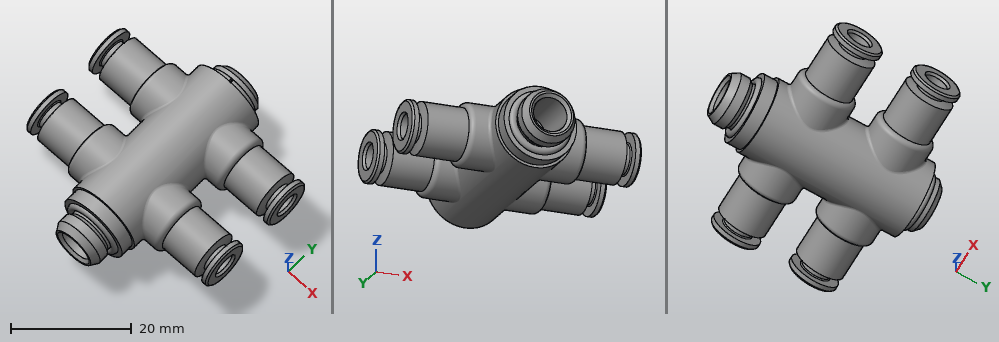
import cadquery as cq
import math

barrel_radius = 7.0
barrel_half_length = 15.08

plug_radius = 4.95
plug_end = 18.15
plug_chamfer = 1.0

ring_center_radius = 4.78
wire_radius = 0.58
ring_y = 15.8
ring_gap = 0.4

collar_radius = 6.5
collar_end = -17.55
seal_center_radius = 4.9
seal_wire_radius = 0.7
neck_end = -18.55
spigot_radius = 4.78
spigot_end = -22.4
spigot_back_length = 0.7
spigot_tip_radius = 3.95
spigot_tip_length = 1.4

bore_radius = 3.0
bore_mouth_radius = 3.6
bore_mouth_depth = 0.58
bore_end = -12.35
drill_tip_angle = 118.0

port_spacing = 15.0
boss_radius = 5.5
boss_face = 10.5
boss_edge_fillet = 0.9
boss_root_fillet = 0.5
sleeve_radius = 4.55
sleeve_end = 17.9
sleeve_nose_length = 0.37
stem_radius = 2.65
flange_start = 19.45
flange_end = 20.6
flange_chamfer = 0.35
stem_root = 0.2

passage_radius = 1.52
tube_radius = 2.15
tube_mouth_radius = 2.4
tube_mouth_depth = 0.5
tube_depth = 4.95

port_ys = (-port_spacing / 2, port_spacing / 2)
sides = (-1, 1)


def revolve_about_y(profile):
    """Full turn about the Y axis of a closed outline of (radius, y) points."""
    return cq.Workplane("XY").polyline(profile).close().revolve(360, (0, 0, 0), (0, 1, 0))


def revolve_about_port(profile, port_y):
    """Full turn about a port axis of a closed outline of (x, radius) points."""
    outline = [(x, port_y + radius) for x, radius in profile]
    return cq.Workplane("XY").polyline(outline).close().revolve(360, (0, port_y, 0), (1, port_y, 0))


def barrel_with_bosses():
    """Barrel and its four bosses, with rounded boss edges and roots."""
    body = cq.Workplane("XZ", origin=(0, barrel_half_length, 0)).circle(barrel_radius)
    body = body.extrude(2 * barrel_half_length)
    for port_y in port_ys:
        boss = cq.Workplane("YZ", origin=(-boss_face, port_y, 0)).circle(boss_radius)
        boss = boss.extrude(2 * boss_face)
        boss = boss.faces("<X or >X").edges().fillet(boss_edge_fillet)
        body = body.union(boss)
    root_edges = [
        edge for edge in body.edges().vals()
        if edge.geomType() not in ("LINE", "CIRCLE")
    ]
    return body.newObject(root_edges).fillet(boss_root_fillet)


def plug():
    """Chamfered plug standing on the +Y end of the barrel."""
    return revolve_about_y([
        (0, 0),
        (plug_radius, 0),
        (plug_radius, plug_end - plug_chamfer),
        (plug_radius - plug_chamfer, plug_end),
        (0, plug_end),
    ])


def spigot():
    """Collar, seal bead, neck and spigot on the -Y end of the barrel."""
    outline = (
        cq.Workplane("XY")
        .moveTo(0, 0)
        .lineTo(collar_radius, 0)
        .lineTo(collar_radius, collar_end)
        .lineTo(seal_center_radius + seal_wire_radius, collar_end)
        .threePointArc(
            (seal_center_radius, collar_end - seal_wire_radius),
            (seal_center_radius - seal_wire_radius, collar_end),
        )
        .lineTo(seal_center_radius - seal_wire_radius, neck_end)
        .lineTo(spigot_radius, neck_end - spigot_back_length)
        .lineTo(spigot_radius, spigot_end + spigot_tip_length)
        .lineTo(spigot_tip_radius, spigot_end)
        .lineTo(0, spigot_end)
        .close()
    )
    return outline.revolve(360, (0, 0, 0), (0, 1, 0))


def spigot_bore():
    """Blind bore with a flared mouth and a drilled cone at its end."""
    tip_length = bore_radius / math.tan(math.radians(drill_tip_angle / 2))
    return revolve_about_y([
        (0, spigot_end),
        (bore_mouth_radius, spigot_end),
        (bore_radius, spigot_end + bore_mouth_depth),
        (bore_radius, bore_end),
        (0, bore_end + tip_length),
    ])


def port(side, port_y):
    """Sleeve, stem and release flange of one port."""
    profile = [
        (0, 0),
        (0, sleeve_radius),
        (sleeve_end, sleeve_radius),
        (sleeve_end + sleeve_nose_length, stem_radius),
        (flange_start - stem_root, stem_radius),
        (flange_start, stem_radius + stem_root),
        (flange_start, sleeve_radius),
        (flange_end - flange_chamfer, sleeve_radius),
        (flange_end, sleeve_radius - flange_chamfer),
        (flange_end, 0),
    ]
    return revolve_about_port([(side * x, radius) for x, radius in profile], port_y)


def port_passage(port_y):
    """Passage along X, wider near both flanges where the tubes enter."""
    tube_end = flange_end - tube_depth
    cone_end = tube_end - (tube_radius - passage_radius)
    half = [
        (flange_end, tube_mouth_radius),
        (flange_end - tube_mouth_depth, tube_radius),
        (tube_end, tube_radius),
        (cone_end, passage_radius),
    ]
    other_half = [(-x, radius) for x, radius in reversed(half)]
    profile = [(flange_end, 0)] + half + other_half + [(-flange_end, 0)]
    return revolve_about_port(profile, port_y)


def ring_torus():
    """Complete circle of ring wire around the plug."""
    wire = cq.Workplane("XY").center(ring_center_radius, ring_y).circle(wire_radius)
    return wire.revolve(360, (-ring_center_radius, 0, 0), (-ring_center_radius, 1, 0))


def make_housing():
    """Barrel, plug, spigot and ports in one piece, with bores and ring groove."""
    body = barrel_with_bosses().union(plug()).union(spigot())
    for port_y in port_ys:
        for side in sides:
            body = body.union(port(side, port_y))
        body = body.cut(port_passage(port_y))
    return body.cut(spigot_bore()).cut(ring_torus())


def make_split_ring():
    """Ring wire with a narrow gap at its +Z side."""
    gap = cq.Workplane("XY", origin=(0, ring_y, 0)).rect(ring_gap, 4 * wire_radius)
    gap = gap.extrude(ring_center_radius + 2 * wire_radius)
    return ring_torus().cut(gap)


housing = make_housing()
split_ring = make_split_ring()
result = cq.Compound.makeCompound([housing.val(), split_ring.val()])